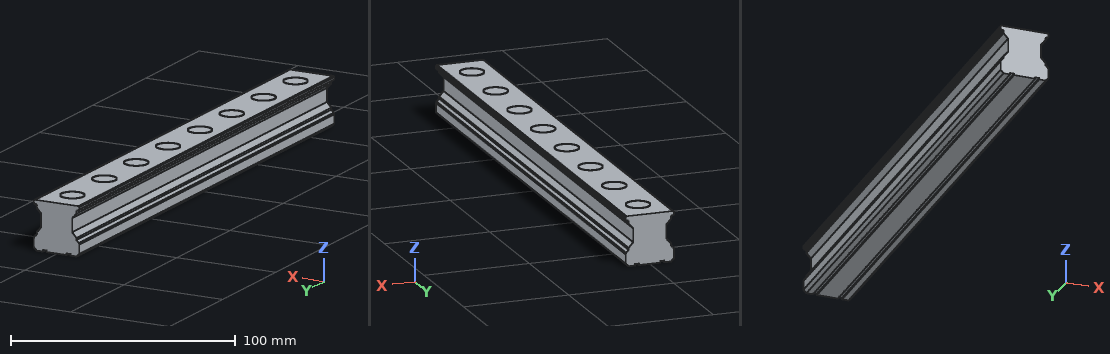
import cadquery as cq

width = 23.0
length = 240.0
height = 23.5

web_inset = 3.5
ledge_inset = 1.5
lip_thickness = 2.05
upper_ledge_bottom = 3.5
web_top = 6.0
web_bottom = 12.5
lower_ledge_top = 15.0
lower_ledge_bottom = 15.8
foot_top = 17.0
foot_chamfer = 1.5

foot_break_height = 0.7
foot_break_width = 0.2
edge_break = 0.5

groove_offset = 6.0
groove_width = 2.0
groove_depth = 0.7

hole_count = 8
hole_pitch = length / hole_count
hole_diameter = 11.0
cap_recess = 0.2


def make_rail_body():
    """Extrude the mirrored waisted section along the full rail length."""
    side = width / 2
    ledge = side - ledge_inset
    web = side - web_inset
    right_side = [
        (side - edge_break, height),
        (side, height - edge_break),
        (side, height - lip_thickness + edge_break),
        (side - edge_break, height - lip_thickness),
        (ledge + edge_break, height - lip_thickness),
        (ledge, height - lip_thickness - edge_break),
        (ledge, height - upper_ledge_bottom),
        (web, height - web_top),
        (web, height - web_bottom),
        (ledge, height - lower_ledge_top),
        (ledge, height - lower_ledge_bottom),
        (side - foot_break_width, height - foot_top),
        (side, height - foot_top - foot_break_height),
        (side, foot_chamfer),
        (side - foot_chamfer, 0),
    ]
    left_side = [(-x, z) for x, z in reversed(right_side)]
    section = cq.Workplane("XZ").polyline(right_side + left_side).close()
    return section.extrude(length / 2, both=True)


def make_underside_grooves():
    """Two rectangular grooves, mirrored about the centre plane."""
    return (
        cq.Workplane("XY")
        .pushPoints([(-groove_offset, 0), (groove_offset, 0)])
        .rect(groove_width, length)
        .extrude(groove_depth)
    )


def make_cap_recesses():
    """Shallow round recesses spaced evenly, half a pitch from each end."""
    return (
        cq.Workplane("XY", origin=(0, 0, height - cap_recess))
        .rarray(2.5, hole_pitch, 1, hole_count)
        .circle(hole_diameter / 2)
        .extrude(cap_recess)
    )


result = make_rail_body().cut(make_underside_grooves()).cut(make_cap_recesses())